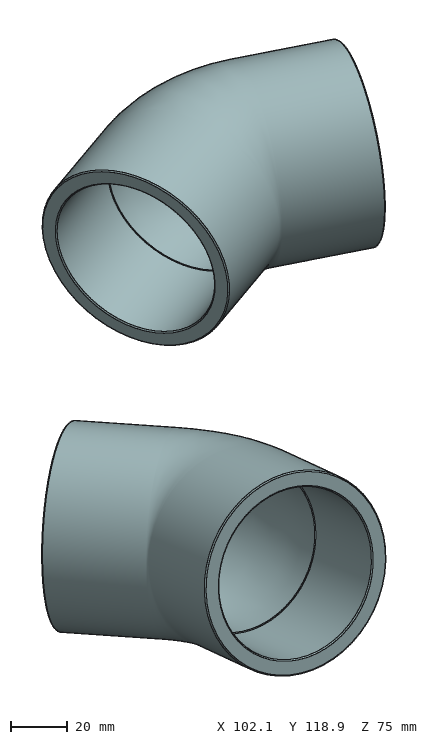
import cadquery as cq
import math

outer_diameter = 75.0
socket_diameter = 63
bore_diameter = 62.1
bend_angle = 45
inner_bend_gap = 1.4
socket_length = 38.2
edge_chamfer = 0.5

bend_radius = outer_diameter / 2 + inner_bend_gap

angle = math.radians(bend_angle)
bend_ends = [
    (
        (0, 0, 0),
        (0, -1, 0),
    ),
    (
        (bend_radius * (1 - math.cos(angle)), bend_radius * math.sin(angle), 0),
        (math.sin(angle), math.cos(angle), 0),
    ),
]


def bend(diameter):
    """Solid torus segment turning from +Y towards +X."""
    return (
        cq.Workplane("XZ")
        .circle(diameter / 2)
        .revolve(bend_angle, (bend_radius, 1.2, 0), (bend_radius, -1.2, 0))
    )


def socket_plane(center, direction):
    """Plane on an end face of the bend, facing out along the socket."""
    return cq.Plane(origin=center, xDir=(0, 0, 1), normal=direction)


def socket_barrel(plane):
    """Straight outer barrel with a chamfered mouth."""
    blank = cq.Workplane(plane).circle(outer_diameter / 2).extrude(socket_length)
    mouth = cq.selectors.DirectionMinMaxSelector(plane.zDir)
    return blank.faces(mouth).chamfer(edge_chamfer)


def socket_bore(plane):
    """Pipe socket, flared at the mouth and ending on a small step at the bend."""
    blank = cq.Workplane(plane).circle(socket_diameter / 2).extrude(socket_length)
    flare = cq.Solid.makeCone(
        socket_diameter / 2,
        socket_diameter / 2 + edge_chamfer,
        edge_chamfer,
        plane.origin + plane.zDir * (socket_length - edge_chamfer),
        plane.zDir,
    )
    return blank.union(cq.Workplane(flare))


outside = bend(outer_diameter)
inside = bend(bore_diameter)
for center, direction in bend_ends:
    plane = socket_plane(center, direction)
    outside = outside.union(socket_barrel(plane))
    inside = inside.union(socket_bore(plane))

result = outside.cut(inside)